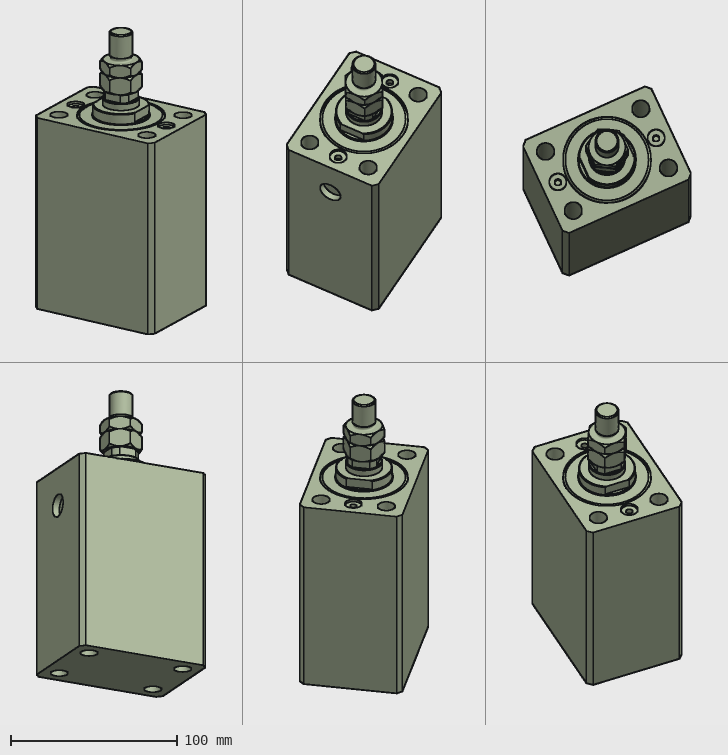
import cadquery as cq
import math

BLOCK_X = 85.0
BLOCK_Y = 63.0
BLOCK_Z = 123.0
BLOCK_EDGE_CHAMFER = 3.0

MOUNT_HOLE_DIA = 10.5
MOUNT_SPACING_X = 63.0
MOUNT_SPACING_Y = 40.0

TOP_PORT_SPACING = 65.0
TOP_PORT_DIA = 10.3
TOP_PORT_DEPTH = 1.5
TOP_PORT_DRILL_DIA = 4.0
TOP_PORT_DRILL_DEPTH = 5.0

SIDE_PORT_DIA = 14.0
SIDE_PORT_DEPTH = 4.5
SIDE_PORT_BELOW_TOP = 24.0

GROOVE_OUTER_DIA = 53.0
GROOVE_INNER_DIA = 50.0
GROOVE_DEPTH = (GROOVE_OUTER_DIA - GROOVE_INNER_DIA) / 2

COLLAR_DIA = 34.0
COLLAR_HEIGHT = 7.0
COLLAR_FLATS = 30.0
COLLAR_FLATS_BASE = 1.0
COLLAR_CHAMFER = 0.5
COLLAR_FOOT_DIA = 35.0
COLLAR_FOOT_HEIGHT = 0.5
COLLAR_FOOT_CHAMFER = 0.3

ROD_DIA = 22.0
ROD_SEAT_DEPTH = 30.0
ROD_SHOULDER_HEIGHT = 11.5
ROD_CHAMFER = 0.5
NECK_DIA = ROD_DIA - 2 * ROD_CHAMFER
NECK_FLATS = 18.0
NECK_HEIGHT = 5.5

HEX_FLATS = 22.0
HEX_CORNERS = HEX_FLATS / math.cos(math.pi / 6)
HEX_CHAMFER = (HEX_CORNERS - HEX_FLATS) / 2
LOCK_NUT_HEIGHT = 11.0
STUD_HEX_HEIGHT = 8.0

THREAD_DIA = 14.0
THREAD_CHAMFER = 0.8
STUD_TOP_HEIGHT = 53.9
STUD_ENTRY_DEPTH = 15.0

RELIEF_DIA = 12.0
RELIEF_LENGTH = 2.8
RELIEF_RADIUS = (THREAD_DIA - RELIEF_DIA) / 2

NECK_BASE = BLOCK_Z + ROD_SHOULDER_HEIGHT
NECK_TOP = NECK_BASE + NECK_HEIGHT
STUD_HEX_BASE = NECK_TOP + LOCK_NUT_HEIGHT
STUD_HEX_TOP = STUD_HEX_BASE + STUD_HEX_HEIGHT
STUD_TOP = BLOCK_Z + STUD_TOP_HEIGHT


def cylinder(diameter, height, base_z):
    return cq.Workplane("XY", origin=(0, 0, base_z)).circle(diameter / 2).extrude(height)


def make_guide_groove():
    """Ring with an upright outer wall and a sloping inner wall."""
    return (
        cq.Workplane("XZ")
        .moveTo(GROOVE_INNER_DIA / 2, BLOCK_Z)
        .lineTo(GROOVE_OUTER_DIA / 2, BLOCK_Z)
        .lineTo(GROOVE_OUTER_DIA / 2, BLOCK_Z - GROOVE_DEPTH)
        .close()
        .revolve(360, (0, 0, 0), (0, 1, 0))
    )


def make_collar():
    """Round collar with two wrench flats facing X, on a low chamfered foot."""
    foot = cylinder(COLLAR_FOOT_DIA, COLLAR_FOOT_HEIGHT, BLOCK_Z).faces(">Z").chamfer(COLLAR_FOOT_CHAMFER)
    base_ring = cylinder(COLLAR_DIA, COLLAR_FLATS_BASE, BLOCK_Z)
    flats_base = BLOCK_Z + COLLAR_FLATS_BASE
    flats_height = COLLAR_HEIGHT - COLLAR_FLATS_BASE
    flats = cq.Workplane("XY", origin=(0, 0, flats_base)).rect(COLLAR_FLATS, COLLAR_DIA).extrude(flats_height)
    upper_ring = cylinder(COLLAR_DIA, flats_height, flats_base).faces(">Z").chamfer(COLLAR_CHAMFER)
    return foot.union(base_ring).union(upper_ring.intersect(flats))


def make_housing():
    block = (
        cq.Workplane("XY")
        .rect(BLOCK_X, BLOCK_Y)
        .extrude(BLOCK_Z)
        .edges("|Z")
        .chamfer(BLOCK_EDGE_CHAMFER)
    )
    top = cq.Workplane("XY", origin=(0, 0, BLOCK_Z))
    mount_holes = (
        top.rarray(MOUNT_SPACING_X, MOUNT_SPACING_Y, 2, 2)
        .circle(MOUNT_HOLE_DIA / 2)
        .extrude(-BLOCK_Z)
    )
    port_places = top.rarray(TOP_PORT_SPACING, 1, 2, 1)
    top_ports = port_places.circle(TOP_PORT_DIA / 2).extrude(-TOP_PORT_DEPTH)
    top_drills = port_places.circle(TOP_PORT_DRILL_DIA / 2).extrude(-TOP_PORT_DRILL_DEPTH)
    side_port = (
        cq.Workplane("YZ", origin=(-BLOCK_X / 2, 0, BLOCK_Z - SIDE_PORT_BELOW_TOP))
        .circle(SIDE_PORT_DIA / 2)
        .extrude(SIDE_PORT_DEPTH)
    )
    rod_seat = cylinder(ROD_DIA, ROD_SEAT_DEPTH + COLLAR_HEIGHT, BLOCK_Z - ROD_SEAT_DEPTH)
    housing = block.cut(make_guide_groove()).union(make_collar())
    for cutter in (mount_holes, top_ports, top_drills, side_port, rod_seat):
        housing = housing.cut(cutter)
    return housing


def make_piston_rod():
    shank_length = ROD_SEAT_DEPTH + ROD_SHOULDER_HEIGHT
    shank = cylinder(ROD_DIA, shank_length, BLOCK_Z - ROD_SEAT_DEPTH).faces(">Z").chamfer(ROD_CHAMFER)
    flats = cq.Workplane("XY", origin=(0, 0, NECK_BASE)).rect(NECK_FLATS, NECK_FLATS).extrude(NECK_HEIGHT)
    neck = cylinder(NECK_DIA, NECK_HEIGHT, NECK_BASE).faces(">Z").chamfer(ROD_CHAMFER).intersect(flats)
    stud_hole = cylinder(THREAD_DIA, STUD_ENTRY_DEPTH, NECK_TOP - STUD_ENTRY_DEPTH)
    return shank.union(neck).cut(stud_hole)


def make_hexagon(height, base_z):
    """Hexagonal prism with corners along Y and conical chamfers at both ends."""
    prism = (
        cq.Workplane("XY", origin=(0, 0, base_z))
        .transformed(rotate=(0, 0, 90))
        .polygon(6, HEX_CORNERS)
        .extrude(height)
    )
    turned_blank = cylinder(HEX_CORNERS, height, base_z).faces("<Z or >Z").chamfer(HEX_CHAMFER)
    return prism.intersect(turned_blank)


def make_lock_nut():
    bore = cylinder(THREAD_DIA, LOCK_NUT_HEIGHT, NECK_TOP)
    return make_hexagon(LOCK_NUT_HEIGHT, NECK_TOP).cut(bore)


def make_relief():
    """Waist that flares through a quarter round into the hexagon and into the thread."""
    waist = RELIEF_DIA / 2
    flare = waist + RELIEF_RADIUS
    top = STUD_HEX_TOP + RELIEF_LENGTH
    diagonal = RELIEF_RADIUS * (1 - math.sqrt(0.5))
    profile = (
        cq.Workplane("XZ")
        .moveTo(0, STUD_HEX_TOP)
        .lineTo(flare, STUD_HEX_TOP)
        .threePointArc((waist + diagonal, STUD_HEX_TOP + diagonal), (waist, STUD_HEX_TOP + RELIEF_RADIUS))
        .lineTo(waist, top - RELIEF_RADIUS)
        .threePointArc((waist + diagonal, top - diagonal), (flare, top))
        .lineTo(0, top)
        .close()
    )
    return profile.revolve(360, (0, 0, 0), (0, 1, 0))


def make_stud():
    """Threaded stud with a hexagon between its lower end in the rod and its free upper end."""
    lower_length = STUD_ENTRY_DEPTH + LOCK_NUT_HEIGHT
    lower_end = cylinder(THREAD_DIA, lower_length, STUD_HEX_BASE - lower_length)
    hexagon = make_hexagon(STUD_HEX_HEIGHT, STUD_HEX_BASE)

    thread_base = STUD_HEX_TOP + RELIEF_LENGTH
    thread = cylinder(THREAD_DIA, STUD_TOP - thread_base, thread_base).faces(">Z").chamfer(THREAD_CHAMFER)
    return lower_end.union(hexagon).union(make_relief()).union(thread)


housing = make_housing()
piston_rod = make_piston_rod()
lock_nut = make_lock_nut()
stud = make_stud()

result = cq.Compound.makeCompound(
    [housing.val(), piston_rod.val(), lock_nut.val(), stud.val()]
)